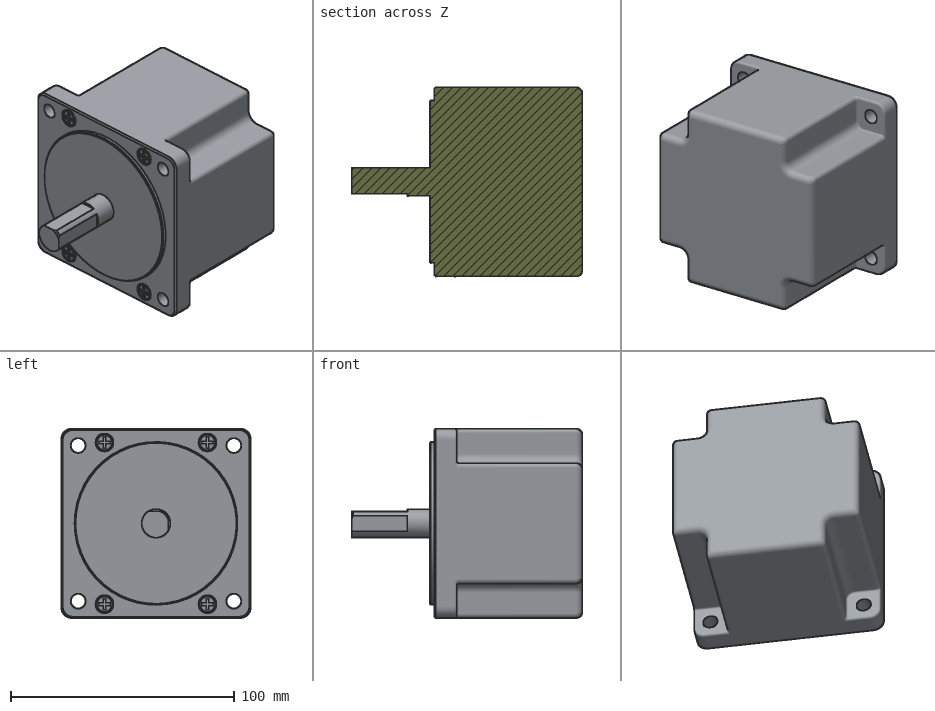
import cadquery as cq

total_length = 103.5
square_side = 85.0
half_side = square_side / 2

shaft_radius = 6.4
flat_distance = 5.4
flat_length = 25.0
shaft_tip_chamfer = 0.7

flange_front = 37.1
flange_thickness = 10.1
flange_back = flange_front + flange_thickness
flange_corner_radius = 5.0
flange_front_chamfer = 0.7
flange_back_fillet = 1.0

pilot_height = 2.0
pilot_front = flange_front - pilot_height
pilot_radius = 36.5
pilot_chamfer = 0.5

notch_wall = 27.0
notch_corner_fillet = 4.0
notch_base_fillet = 0.8
housing_edge_fillet = 1.9
housing_rear_fillet = 3.0

hole_offset = 34.9
hole_diameter = 6.5

screw_y = 23.1
screw_z = 36.2
screw_seat_radius = 4.0
screw_head_radius = 3.4
screw_gap_depth = 0.5
cross_length = 5.1
cross_width = 1.2
cross_depth = 0.6

tolerance = 0.01


def section_at(x):
    """Workplane across the motor axis at the given X, facing +X."""
    return cq.Workplane("YZ", origin=(x, 0, 0))


def four_points(y, z):
    """The four (Y, Z) positions mirrored about both centre planes."""
    return [(side_y * y, side_z * z) for side_y in (-1, 1) for side_z in (-1, 1)]


def is_close(a, b):
    return abs(a - b) < tolerance


def make_sharp_body():
    """Square block with rounded corners, notched behind the flange."""
    body_length = total_length - flange_front
    block = section_at(flange_front).rect(square_side, square_side).extrude(body_length)
    block = block.edges("|X").fillet(flange_corner_radius)
    notch_side = 2 * (half_side - notch_wall)
    notches = (
        section_at(flange_back)
        .pushPoints(four_points(half_side, half_side))
        .rect(notch_side, notch_side)
        .extrude(total_length - flange_back)
        .edges("|X")
        .fillet(notch_corner_fillet)
    )
    return block.cut(notches)


def fillet_notch_bases(body):
    """Round the inside edges where the notch walls meet the flange back."""

    def is_corner_arc(edge):
        box = edge.BoundingBox()
        in_flange_back = is_close(box.xmin, flange_back) and is_close(box.xmax, flange_back)
        reach = max(abs(box.ymin), abs(box.ymax), abs(box.zmin), abs(box.zmax))
        return in_flange_back and reach < half_side - tolerance

    corner_arcs = [edge for edge in body.edges().vals() if is_corner_arc(edge)]
    return cq.Workplane(body.val().fillet(notch_base_fillet, corner_arcs))


def fillet_notch_rims(body):
    """Round each notch rim, blending from the flange radius to the larger housing radius."""
    solid = body.solids().val()
    maker = cq.occ_impl.shapes.BRepFilletAPI_MakeFillet(solid.wrapped)
    for edge in solid.Edges():
        box = edge.BoundingBox()
        flat_on_y = is_close(box.ymin, box.ymax) and is_close(abs(box.ymin), half_side)
        flat_on_z = is_close(box.zmin, box.zmax) and is_close(abs(box.zmin), half_side)
        on_side = flat_on_y or flat_on_z
        starts_behind_flange = box.xmin > flange_back - tolerance
        if not (on_side and starts_behind_flange):
            continue
        if is_close(box.xmin, flange_back) and is_close(box.xmax, flange_back):
            maker.Add(flange_back_fillet, edge.wrapped)
        elif box.xmin < total_length - tolerance and is_close(box.xmax, total_length):
            maker.Add(housing_edge_fillet, edge.wrapped)
    return cq.Workplane(cq.Shape.cast(maker.Shape()))


def make_housing():
    body = fillet_notch_rims(fillet_notch_bases(make_sharp_body()))
    body = body.faces(">X").edges().fillet(housing_rear_fillet)
    return body.faces("<X").edges().chamfer(flange_front_chamfer)


def make_pilot():
    pilot = section_at(pilot_front).circle(pilot_radius).extrude(pilot_height)
    return pilot.faces("<X").edges().chamfer(pilot_chamfer)


def make_shaft():
    """Round shaft with flats facing +Z and -Y, and a chamfered tip between them."""
    shaft = section_at(0).circle(shaft_radius).extrude(pilot_front)
    side = 2 * shaft_radius
    flat_centre = flat_distance + shaft_radius
    top_flat = section_at(0).center(0, flat_centre).rect(2 * side, side).extrude(flat_length)
    side_flat = section_at(0).center(-flat_centre, 0).rect(side, 2 * side).extrude(flat_length)
    shaft = shaft.cut(top_flat).cut(side_flat)
    between_flats = cq.selectors.NearestToPointSelector((0, -flat_distance, flat_distance))
    return shaft.faces("<X").edges(between_flats).chamfer(shaft_tip_chamfer)


def make_mounting_holes():
    holes = section_at(flange_front).pushPoints(four_points(hole_offset, hole_offset))
    return holes.circle(hole_diameter / 2).extrude(flange_thickness)


def make_screw_recesses():
    """Ring gaps around the screw heads and the cross slots in them."""
    screws = section_at(flange_front).pushPoints(four_points(screw_y, screw_z))
    seats = screws.circle(screw_seat_radius).extrude(screw_gap_depth)
    heads = screws.circle(screw_head_radius).extrude(screw_gap_depth)
    level_slots = screws.rect(cross_length, cross_width).extrude(cross_depth)
    upright_slots = screws.rect(cross_width, cross_length).extrude(cross_depth)
    return seats.cut(heads).union(level_slots).union(upright_slots)


motor = make_housing().union(make_pilot()).union(make_shaft())
result = motor.cut(make_mounting_holes()).cut(make_screw_recesses())